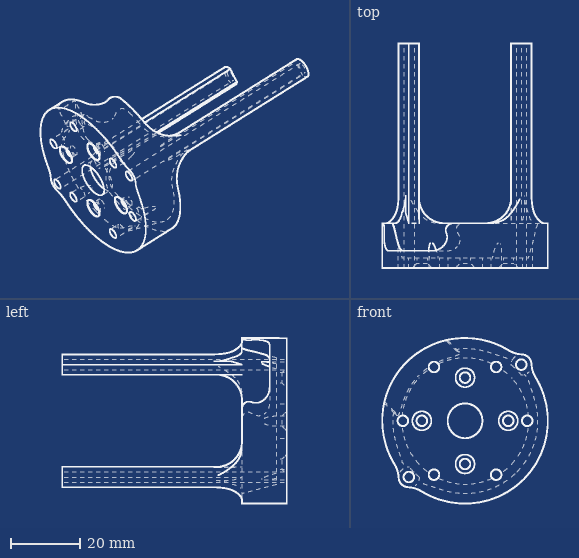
import cadquery as cq
import math

cup_radius = 24.0
cup_height = 13.0
floor_thickness = 3.0
total_length = 65.0

cavity_rim_radius = 21.0
cavity_draft = math.radians(15.0)
cavity_depth = cup_height - floor_thickness
cavity_floor_radius = cavity_rim_radius - cavity_depth * math.tan(cavity_draft)

post_radius = 3.0
post_circle_radius = 23.0
post_angles = (45.0, 225.0)
lug_blend_radius = 8.0

flare_radius = 8.0
flare_foot_radius = post_radius + flare_radius
flare_top = cup_height + flare_radius
flare_sector_margin = 30.0
flare_inner_radius = 21.8

center_hole_diameter = 10.0
screw_hole_diameter = 3.0
outer_hole_circle_radius = 18.0
outer_hole_count = 6
countersink_diameter = 5.5
countersink_lip = 0.2
countersink_angle = math.radians(90.0)
countersink_circle_radius = 12.5
countersink_count = 4

notch_angle = 135.0
notch_half_width = 12.9
notch_corner_radius = 4.0
notch_rim_radius = 2.0
notch_floor_height = 5.0

blend_circle_radius = cup_radius + lug_blend_radius
lug_to_blend = post_radius + lug_blend_radius
blend_offset = math.degrees(
    math.acos(
        (blend_circle_radius**2 + post_circle_radius**2 - lug_to_blend**2)
        / (2 * blend_circle_radius * post_circle_radius)
    )
)


def polar(radius, angle):
    """X and Z of a point given by its radius and angle in degrees about the cup axis."""
    return (radius * math.cos(math.radians(angle)), radius * math.sin(math.radians(angle)))


def toward(start, end, distance):
    """Point at a given distance from start on the line to end."""
    share = distance / math.dist(start, end)
    return tuple(s + (e - s) * share for s, e in zip(start, end))


def cross_section(y):
    """Plane across the cup axis with local axes X and Z and its normal towards -Y."""
    return cq.Workplane("XZ", origin=(0, y, 0))


def rod(radius, start, end, center=(0.0, 0.0)):
    """Round bar parallel to Y between two Y positions."""
    return cross_section(start).center(*center).circle(radius).extrude(start - end)


def revolve_about_y(profile):
    """Full turn about Y of an outline drawn in the XY plane."""
    return profile.close().revolve(360, (0, 0, 0), (0, 1, 0))


def blend_points(post_angle, side):
    """Points where a blend arc touches the cup and the lug, and a point between them."""
    angle = post_angle + side * blend_offset
    center = polar(blend_circle_radius, angle)
    on_cup = polar(cup_radius, angle)
    on_lug = toward(polar(post_circle_radius, post_angle), center, post_radius)
    chord_middle = tuple((c + g) / 2 for c, g in zip(on_cup, on_lug))
    return on_cup, toward(center, chord_middle, lug_blend_radius), on_lug


def cup_blank():
    """Solid cup with both lugs."""
    half_turn = 180.0
    outline = cross_section(0).moveTo(*blend_points(post_angles[0], -1)[0])
    for angle in post_angles:
        _, entry_middle, lug_start = blend_points(angle, -1)
        cup_start, exit_middle, lug_end = blend_points(angle, 1)
        next_cup_end = blend_points(angle + half_turn, -1)[0]
        outline = (
            outline.threePointArc(entry_middle, lug_start)
            .threePointArc(polar(post_circle_radius + post_radius, angle), lug_end)
            .threePointArc(exit_middle, cup_start)
            .threePointArc(polar(cup_radius, angle + half_turn / 2), next_cup_end)
        )
    return outline.close().extrude(-cup_height)


def cavity():
    """Drafted bore that widens past the rim, up to the inner radius of the flares."""
    draft_end = cup_height + (flare_inner_radius - cavity_rim_radius) / math.tan(cavity_draft)
    profile = (
        cq.Workplane("XY")
        .moveTo(0, floor_thickness)
        .lineTo(cavity_floor_radius, floor_thickness)
        .lineTo(flare_inner_radius, draft_end)
        .lineTo(flare_inner_radius, total_length)
        .lineTo(0, total_length)
    )
    return revolve_about_y(profile)


def post(angle):
    """Round post above the rim, hollowed on its inner side to clear the cavity."""
    bar = rod(post_radius, cup_height, total_length, polar(post_circle_radius, angle))
    return bar.cut(rod(cavity_rim_radius, 0, total_length))


def flare_sector(angle):
    """Part of the cup outline around one post, without the lug tip."""
    cup_low, low_middle, lug_low = blend_points(angle, -1)
    cup_high, high_middle, lug_high = blend_points(angle, 1)
    reach = blend_offset + flare_sector_margin
    arc_middle = blend_offset + flare_sector_margin / 2
    return (
        cross_section(0)
        .moveTo(*polar(post_circle_radius, angle))
        .lineTo(*lug_low)
        .threePointArc(low_middle, cup_low)
        .threePointArc(polar(cup_radius, angle - arc_middle), polar(cup_radius, angle - reach))
        .lineTo(0, 0)
        .lineTo(*polar(cup_radius, angle + reach))
        .threePointArc(polar(cup_radius, angle + arc_middle), cup_high)
        .threePointArc(high_middle, lug_high)
        .close()
        .extrude(-total_length)
    )


def flare(angle):
    """Concave flare on the rim around one post, kept inside the wall."""
    x, z = polar(post_circle_radius, angle)
    sag = (1 - math.sqrt(0.5)) * flare_radius
    profile = (
        cq.Workplane("XY")
        .moveTo(0, cup_height)
        .lineTo(flare_foot_radius, cup_height)
        .threePointArc((post_radius + sag, cup_height + sag), (post_radius, flare_top))
        .lineTo(0, flare_top)
    )
    full_flare = revolve_about_y(profile).translate((x, 0, z))
    return flare_sector(angle).intersect(full_flare).cut(cavity())


def notch():
    """Cutter for the notch: a flat floor, large round corners and rounded rim edges."""
    corner_x = notch_half_width - notch_corner_radius
    corner_y = notch_floor_height + notch_corner_radius
    center_distance = notch_corner_radius + notch_rim_radius
    center_rise = cup_height - notch_rim_radius - corner_y
    rim_x = corner_x + math.sqrt(center_distance**2 - center_rise**2)
    rim_y = corner_y + center_rise
    arcs_meet = toward((corner_x, corner_y), (rim_x, rim_y), notch_corner_radius)
    diagonal = math.sqrt(0.5)
    corner_step = notch_corner_radius * diagonal
    rim_step = notch_rim_radius * diagonal
    half = (
        cq.Workplane("XY")
        .moveTo(0, notch_floor_height)
        .lineTo(corner_x, notch_floor_height)
        .threePointArc((corner_x + corner_step, corner_y - corner_step), arcs_meet)
        .threePointArc((rim_x - rim_step, rim_y + rim_step), (rim_x, cup_height))
        .lineTo(0, cup_height)
        .close()
        .extrude(2 * cup_radius)
    )
    return half.union(half.mirror("YZ")).rotate((0, 0, 0), (0, 1, 0), 90.0 - notch_angle)


def holes(diameter, centers):
    """Cutter for holes parallel to Y through the whole part."""
    return cross_section(0).pushPoints(centers).circle(diameter / 2).extrude(-total_length)


def ring_of_points(radius, count):
    """Evenly spaced points about the cup axis, the first on +X."""
    return [polar(radius, i * 360.0 / count) for i in range(count)]


def countersink(center):
    """Conical cutter below a short straight lip on the mounting face."""
    radius = countersink_diameter / 2
    cone_depth = radius / math.tan(countersink_angle / 2)
    profile = (
        cq.Workplane("XY")
        .lineTo(radius, 0)
        .lineTo(radius, countersink_lip)
        .lineTo(0, countersink_lip + cone_depth)
    )
    x, z = center
    return revolve_about_y(profile).translate((x, 0, z))


body = cup_blank().cut(cavity())
for post_angle in post_angles:
    body = body.union(post(post_angle))
    body = body.union(flare(post_angle))
body = body.cut(notch())

countersink_centers = ring_of_points(countersink_circle_radius, countersink_count)
screw_centers = (
    ring_of_points(outer_hole_circle_radius, outer_hole_count)
    + [polar(post_circle_radius, angle) for angle in post_angles]
    + countersink_centers
)
body = body.cut(holes(center_hole_diameter, [(0.0, 0.0)]))
body = body.cut(holes(screw_hole_diameter, screw_centers))
for screw_center in countersink_centers:
    body = body.cut(countersink(screw_center))

result = body